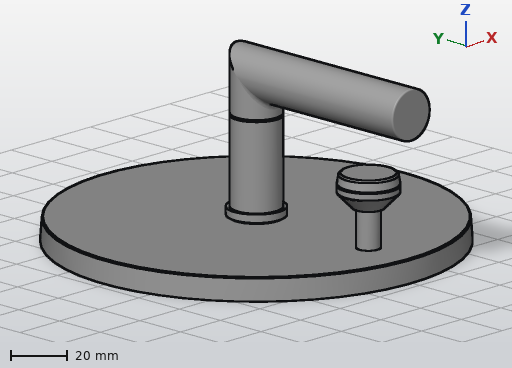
import cadquery as cq
import math

plate_radius = 76.2
plate_height = 8.8
plate_rim_radius = 75.6
plate_rim_chamfer = 0.5

overall_height = 71.2
tube_diameter = 19.0
tube_radius = tube_diameter / 2
spout_axis_height = overall_height - tube_radius
spout_reach = plate_radius
spout_end_fillet = 0.6
elbow_fillet = 2.1

groove_bottom = 46.2
groove_width = 0.8
groove_depth = 1.4

collar_radius = 10.8
collar_bottom = 9.6
collar_height = 3.0

knob_offset = 55.0
stem_radius = 4.4
knob_underside = 23.5
knob_neck_radius = 5.8
knob_radius = 11.3
cone_height = 5.5
band_edge_inset = 0.2
band_edge_height = 0.3
band_height = 2.5
knob_groove_width = 0.5
knob_groove_depth = 0.3
knob_top = 36.3
knob_rim_radius = 10.7
knob_rim_chamfer = 0.8


def revolve_profile(points):
    """Revolve (radius, height) points about the Z axis."""
    return cq.Workplane("XZ").polyline(points).close().revolve(360, (0, 0), (0, 1))


def make_plate():
    return revolve_profile([
        (0, 0),
        (plate_radius, 0),
        (plate_rim_radius, plate_height - plate_rim_chamfer),
        (plate_rim_radius - plate_rim_chamfer, plate_height),
        (0, plate_height),
    ])


def make_spout():
    """Sweep the tube up the post and out along -Y with a mitred corner."""
    path = (
        cq.Workplane("YZ")
        .moveTo(0, 0)
        .lineTo(0, spout_axis_height)
        .lineTo(-spout_reach, spout_axis_height)
    )
    tube = cq.Workplane("XY").circle(tube_radius).sweep(path, transition="right")
    return tube.faces("<Y").edges().fillet(spout_end_fillet)


def add_elbow_fillet(tube):
    """Give the inside of the mitre the fillet a ball leaves when rolled along both tubes."""
    ball_reach = tube_radius + elbow_fillet

    wedge = (
        cq.Workplane("YZ")
        .polyline([
            (0, spout_axis_height),
            (-tube_diameter, spout_axis_height - 2 * ball_reach),
            (-2 * ball_reach, spout_axis_height - tube_diameter),
        ])
        .close()
        .extrude(tube_diameter, both=True)
    )

    mitre_plane = cq.Plane(origin=(0, 0, spout_axis_height), xDir=(1, 0, 0), normal=(0, -1, 1))
    chord_cylinder = (
        cq.Workplane(mitre_plane)
        .ellipse(tube_radius, (tube_radius + ball_reach) / math.sqrt(2))
        .extrude(tube_diameter, both=True)
    )

    ball_path = cq.Workplane(mitre_plane).ellipse(ball_reach, ball_reach * math.sqrt(2))
    ball_start = cq.Plane(origin=(ball_reach, 0, spout_axis_height), xDir=(1, 0, 0), normal=(0, 1, 1))
    rolled_ball = cq.Workplane(ball_start).circle(elbow_fillet).sweep(ball_path)
    fillet_block = wedge.intersect(chord_cylinder.cut(rolled_ball))
    return tube.cut(wedge).union(fillet_block)


def make_joint_groove():
    ring = cq.Workplane("XY").workplane(offset=groove_bottom)
    return ring.circle(tube_diameter).circle(tube_radius - groove_depth).extrude(groove_width)


def make_collar():
    return cq.Workplane("XY").workplane(offset=collar_bottom).circle(collar_radius).extrude(collar_height)


def make_knob():
    cone_top = knob_underside + cone_height
    band_bottom = cone_top + band_edge_height
    groove_start = band_bottom + band_height
    groove_end = groove_start + knob_groove_width
    profile = [
        (0, 0),
        (stem_radius, 0),
        (stem_radius, knob_underside),
        (knob_neck_radius, knob_underside),
        (knob_radius - band_edge_inset, cone_top),
        (knob_radius, band_bottom),
        (knob_radius, groove_start),
        (knob_radius - knob_groove_depth, groove_start),
        (knob_radius - knob_groove_depth, groove_end),
        (knob_radius, groove_end),
        (knob_rim_radius, knob_top - knob_rim_chamfer),
        (knob_rim_radius - knob_rim_chamfer, knob_top),
        (0, knob_top),
    ]
    return revolve_profile(profile).translate((0, -knob_offset, 0))


result = (
    make_plate()
    .union(add_elbow_fillet(make_spout()).cut(make_joint_groove()))
    .union(make_collar())
    .union(make_knob())
)